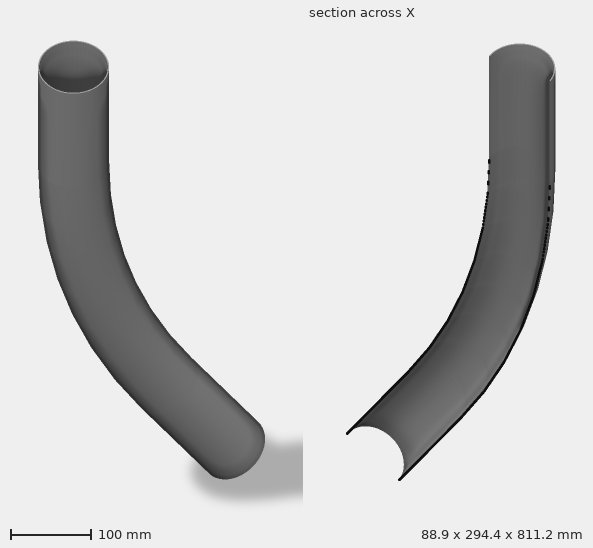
import cadquery as cq
import math

OUTER_DIAMETER = 88.9
INNER_DIAMETER = 85.7
BEND_RADIUS = 914.4
BEND_ANGLE = 30.0
STRAIGHT_LENGTH = 177.8


def bend_point(angle):
    """Centreline (y, z) after turning by `angle` degrees from the vertical leg."""
    turn = math.radians(angle)
    y = BEND_RADIUS * (1 - math.cos(turn))
    z = -BEND_RADIUS * math.sin(turn)
    return y, z


def centreline():
    """Vertical leg down to the origin, bend toward +Y, then the slanted leg."""
    bend_middle = bend_point(BEND_ANGLE / 2)
    bend_end = bend_point(BEND_ANGLE)
    slant = math.radians(BEND_ANGLE)
    lower_end = (
        bend_end[0] + STRAIGHT_LENGTH * math.sin(slant),
        bend_end[1] - STRAIGHT_LENGTH * math.cos(slant),
    )
    return (
        cq.Workplane("YZ")
        .moveTo(0, STRAIGHT_LENGTH)
        .lineTo(0, 0)
        .threePointArc(bend_middle, bend_end)
        .lineTo(*lower_end)
    )


def bent_tube():
    """Ring section swept along the centreline, open at both ends."""
    return (
        cq.Workplane("XY", origin=(0, 0, STRAIGHT_LENGTH))
        .circle(OUTER_DIAMETER / 2)
        .circle(INNER_DIAMETER / 2)
        .sweep(centreline())
    )


result = bent_tube()